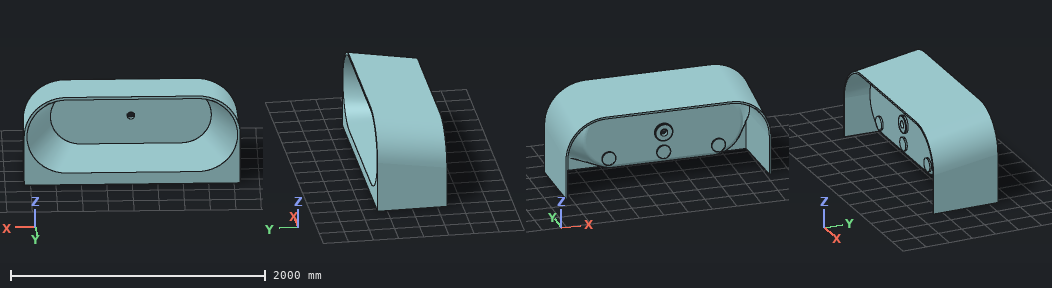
import cadquery as cq
import math

length = 1700.0
depth = 555.0
height = 750.0

rim_corner_radius = 335.0
front_half_width = 843.0
front_height = 661.0
front_corner_radius = 330.0
front_wall = 15.0
inner_rear_half_width = 802.0
inner_rear_height = 619.0
deck_thickness = 20.0

basin_center_z = height - rim_corner_radius
basin_reach = 418.0
rim_center_x = length / 2 - rim_corner_radius
floor_radius = 260.0
floor_center_x = 395.0
floor_fillet = 32.0
deck_fillet = 7.0
basin_wall = 22.0

drain_radius = 73.0
drain_chamfer = 5.0
drain_hole_radius = 29.0
foot_radius = 56.0
foot_spacing = 450.0
foot_z = 245.0
foot_height = 14.0
flange_height = 20.0
pad_overlap = 8.0


def plane_at(y):
    """Workplane facing -Y, with local x along X and local y along Z."""
    return cq.Workplane("XZ", origin=(0, y, 0))


def arch(y, half_width, top, radius, bottom=0.0):
    """Closed outline with two rounded upper corners."""
    diagonal = radius * math.sqrt(0.5)
    center_x = half_width - radius
    center_z = top - radius
    return (
        plane_at(y)
        .moveTo(-half_width, bottom)
        .lineTo(-half_width, center_z)
        .threePointArc((-center_x - diagonal, center_z + diagonal), (-center_x, top))
        .lineTo(center_x, top)
        .threePointArc((center_x + diagonal, center_z + diagonal), (half_width, center_z))
        .lineTo(half_width, bottom)
        .close()
        .val()
    )


def stadium(y, center_x, radius):
    """Closed outline with semicircular ends, centred on the drain axis."""
    return (
        plane_at(y)
        .center(0, basin_center_z)
        .slot2D(2 * (center_x + radius), 2 * radius)
        .val()
    )


def loft(*wires):
    return cq.Workplane(obj=cq.Solid.makeLoft(list(wires), True))


def pad(x, z, radius, pad_height):
    """Round pad standing out of the basin floor."""
    return (
        plane_at(-basin_reach + pad_overlap)
        .center(x, z)
        .circle(radius)
        .extrude(pad_height + pad_overlap)
    )


envelope = loft(
    arch(0, length / 2, height, rim_corner_radius),
    arch(-depth, front_half_width, front_height, front_corner_radius),
)

inner_front_radius = front_corner_radius - front_wall
inner_center_z = front_height - front_corner_radius
open_margin = 17.0
underside = loft(
    arch(
        -deck_thickness,
        inner_rear_half_width,
        inner_rear_height,
        inner_rear_height - inner_center_z,
        -open_margin,
    ),
    arch(
        -depth,
        front_half_width - front_wall,
        front_height - front_wall,
        inner_front_radius,
        -open_margin,
    ),
)
shell = envelope.cut(underside)

basin = loft(
    stadium(-deck_thickness, rim_center_x, rim_corner_radius),
    stadium(-basin_reach, floor_center_x, floor_radius),
)
basin = basin.faces("<Y").edges().fillet(floor_fillet)
basin = basin.intersect(envelope)

cavity = loft(
    stadium(0, rim_center_x, rim_corner_radius - basin_wall),
    stadium(-basin_reach + basin_wall, floor_center_x, floor_radius - basin_wall),
)

flange = pad(0, basin_center_z, drain_radius, flange_height).faces("<Y").edges().chamfer(drain_chamfer)
drain_hole = plane_at(0).center(0, basin_center_z).circle(drain_hole_radius).extrude(depth)

body = shell.union(basin)
pick_margin = 2.0
deck_basin_edge = cq.selectors.BoxSelector(
    (-length / 4, -deck_thickness - pick_margin, pick_margin),
    (length / 4, -deck_thickness + pick_margin, basin_center_z),
)
body = body.edges(deck_basin_edge).fillet(deck_fillet)

result = body.cut(cavity).union(flange)
for foot_x in (-foot_spacing, 0, foot_spacing):
    result = result.union(pad(foot_x, foot_z, foot_radius, foot_height))
result = result.cut(drain_hole)